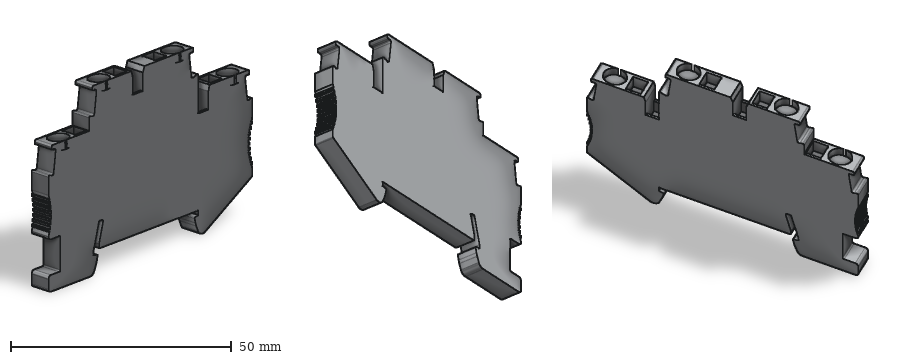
import cadquery as cq
import math

thickness = 5.2
length = 67.9
height = 46.0
half_length = length / 2
near_face_x = -thickness / 2

tier_drop = 10.6
upper_top_z = height
lower_top_z = height - tier_drop
lip_thickness = 1.15
lip_overhang = 1.4
lip_top_round = 0.5
lip_under_round = 0.35
neck_lean = 0.8
neck_round = 0.5
neck_foot_depth = 7.5
ledge_width = 1.6
ledge_crest = 0.4
ledge_slope = 0.3
ledge_edge_round = 0.3
upper_left_ledge_width = 2.25
upper_left_neck_y = 12.9
upper_right_neck_y = -17.9
lower_neck_y = half_length - ledge_width - neck_lean
upper_wall_y = upper_left_neck_y + neck_lean + upper_left_ledge_width

slot_width = 3.3
slot_depth = 5.9
lead_in_depth = 1.4
lower_lead_in = 0.4
upper_lead_in = 0.55
lower_slot_y = upper_wall_y + slot_width / 2
upper_slot_y = -4.2

grip_radius = 14.45
rib_pitch = 1.2
rib_width = 0.51
rib_height = 0.44
left_grip_z = 17.4
left_grip_depth = 1.3
left_rib_count = 9
right_grip_z = 18.6
right_grip_depth = 0.9
right_rib_count = 7

rail_seat_z = 6.0
hook_root_z = 4.9
hook_tip_z = 4.6
hook_tip_round = 0.2
flank_angle = 22.0
knee_z = 2.85
knee_round = 5.4
foot_round = 1.7
foot_run = 1.55
left_tip_y = 14.7
right_tip_y = -17.5
belly_z = 9.3
belly_angle = 30.0
small_round = 0.3

spring_slot_top_z = 12.7
spring_slot_lean = math.tan(math.radians(15.0))
spring_slot_round = 0.5
spring_slot_left_y = -17.1
spring_slot_left_z = 7.2
spring_slot_right_y = -18.95
spring_slot_right_z = 5.85

notch_y = -30.0
notch_bottom_z = 4.1
notch_top_z = spring_slot_top_z
toe_round = 0.8
notch_round = 0.35

pocket_width = 3.95
pocket_length = 3.75
pocket_depth = 3.4
pocket_x = -0.1
oval_width = 4.8
oval_length = 5.6
oval_depth = 2.25
oval_x = 0.22
entry_spacing = 5.65
wire_entries = [
    (28.25, lower_top_z, -1),
    (9.85, upper_top_z, -1),
    (-14.7, upper_top_z, 1),
    (-28.1, lower_top_z, 1),
]


def tier_end(side, neck_y, top_z, ledge=ledge_width):
    """Corners (y, z, radius) from the lip down to the ledge edge; side is +1 or -1."""
    lip_y = neck_y + side * lip_overhang
    under_z = top_z - lip_thickness
    foot_y = neck_y + side * neck_lean
    edge_y = foot_y + side * ledge
    foot_z = top_z - neck_foot_depth
    ledge_z = foot_z + ledge_slope * (ledge - ledge_crest)
    return [
        (lip_y, top_z, lip_top_round),
        (lip_y, under_z, lip_under_round),
        (neck_y, under_z, neck_round),
        (foot_y, foot_z, neck_round),
        (edge_y - side * ledge_crest, ledge_z, 0),
        (edge_y, ledge_z, ledge_edge_round),
    ]


def bridge_slot(centre_y, top_z, left_lead_in, right_lead_in):
    """Corners of a slot from its +Y rim to its -Y rim; a zero lead-in leaves that rim out."""
    left_y = centre_y + slot_width / 2
    right_y = centre_y - slot_width / 2
    floor_z = top_z - slot_depth
    corners = [(left_y, floor_z, 0), (right_y, floor_z, 0)]
    if left_lead_in:
        corners = [(left_y + left_lead_in, top_z, 0), (left_y, top_z - lead_in_depth, 0)] + corners
    if right_lead_in:
        corners += [(right_y, top_z - lead_in_depth, 0), (right_y - right_lead_in, top_z, 0)]
    return corners


def finger_grip(side, centre_z, depth, rib_count):
    """Corners of the ribs from top to bottom; no rib stands out beyond the end face."""
    def floor_inset(offset):
        return depth - grip_radius + math.sqrt(grip_radius**2 - offset**2)

    half_chord = math.sqrt(grip_radius**2 - (grip_radius - depth) ** 2)
    corners = [(side * half_length, centre_z + half_chord, 0)]
    for rib in range(rib_count):
        rib_offset = ((rib_count - 1) / 2 - rib) * rib_pitch
        upper_offset = rib_offset + rib_width / 2
        lower_offset = rib_offset - rib_width / 2
        tip_y = side * (half_length - max(0, floor_inset(rib_offset) - rib_height))
        corners += [
            (side * (half_length - floor_inset(upper_offset)), centre_z + upper_offset, 0),
            (tip_y, centre_z + upper_offset, 0),
            (tip_y, centre_z + lower_offset, 0),
            (side * (half_length - floor_inset(lower_offset)), centre_z + lower_offset, 0),
        ]
    corners.append((side * half_length, centre_z - half_chord, 0))
    return corners


def rounded_outline(corners):
    """Closed wire in the YZ plane whose corners are rounded by tangent arcs."""
    stretches = []
    for i, (y, z, radius) in enumerate(corners):
        corner = cq.Vector(y, z)
        if radius == 0:
            stretches.append([corner])
            continue
        before = (cq.Vector(*corners[i - 1][:2]) - corner).normalized()
        after = (cq.Vector(*corners[(i + 1) % len(corners)][:2]) - corner).normalized()
        half_angle = before.getAngle(after) / 2
        setback = radius / math.tan(half_angle)
        sagitta = radius / math.sin(half_angle) - radius
        middle = corner + (before + after).normalized() * sagitta
        stretches.append([corner + before * setback, middle, corner + after * setback])

    sketch = cq.Workplane("YZ", origin=(near_face_x, 0, 0)).moveTo(*stretches[0][-1].toTuple()[:2])
    for stretch in stretches[1:] + stretches[:1]:
        points = [point.toTuple()[:2] for point in stretch]
        sketch = sketch.lineTo(*points[0])
        if len(points) == 3:
            sketch = sketch.threePointArc(points[1], points[2])
    return sketch.close()


def upper_edge():
    """Corners along the tiers from the +Y end to the -Y end."""
    left_lower = tier_end(1, lower_neck_y, lower_top_z)[::-1]
    left_upper = tier_end(1, upper_left_neck_y, upper_top_z, upper_left_ledge_width)[::-1]
    right_upper = tier_end(-1, upper_right_neck_y, upper_top_z)
    right_lower = tier_end(-1, -lower_neck_y, lower_top_z)
    step_corner = (right_upper[-1][0], lower_top_z, 0)
    return (
        left_lower
        + bridge_slot(lower_slot_y, lower_top_z, lower_lead_in, 0)
        + left_upper
        + bridge_slot(upper_slot_y, upper_top_z, upper_lead_in, upper_lead_in)
        + right_upper
        + [step_corner]
        + right_lower
    )


def lower_edge():
    """Corners along the underside from the -Y end to the +Y end."""
    flank_slope = math.tan(math.radians(flank_angle))
    belly_slope = math.tan(math.radians(belly_angle))
    knee_run = foot_run - knee_z * flank_slope

    left_flank_base_y = left_tip_y + foot_run
    belly_z_at_flank = belly_z - belly_slope * (half_length - left_flank_base_y)
    left_foot_z = belly_z_at_flank / (1 + belly_slope * flank_slope)
    left_foot_y = left_flank_base_y - flank_slope * left_foot_z

    slot_left_top_y = spring_slot_left_y + spring_slot_lean * (spring_slot_top_z - spring_slot_left_z)
    slot_right_top_y = spring_slot_right_y + spring_slot_lean * (spring_slot_top_z - spring_slot_right_z)
    return [
        (-half_length, notch_top_z, toe_round),
        (notch_y, notch_top_z, notch_round),
        (notch_y, notch_bottom_z, notch_round),
        (-half_length, notch_bottom_z, toe_round),
        (-half_length, 0, toe_round),
        (right_tip_y - foot_run, 0, foot_round),
        (right_tip_y - knee_run, knee_z, knee_round),
        (right_tip_y, hook_tip_z, hook_tip_round),
        (spring_slot_right_y, hook_root_z, 0),
        (spring_slot_right_y, spring_slot_right_z, 0),
        (slot_right_top_y, spring_slot_top_z, spring_slot_round),
        (slot_left_top_y, spring_slot_top_z, spring_slot_round),
        (spring_slot_left_y, spring_slot_left_z, 0),
        (spring_slot_left_y, rail_seat_z, small_round),
        (upper_wall_y, rail_seat_z, 0),
        (upper_wall_y, hook_root_z, 0),
        (left_tip_y, hook_tip_z, hook_tip_round),
        (left_tip_y + knee_run, knee_z, knee_round),
        (left_foot_y, left_foot_z, foot_round),
        (half_length, belly_z, small_round),
    ]


def pocket(centre_y, top_z, pocket_y_size):
    """Rectangular pocket cutter sunk from top_z."""
    return (
        cq.Workplane("XY", origin=(pocket_x, centre_y, top_z))
        .rect(pocket_width, pocket_y_size)
        .extrude(-pocket_depth)
    )


def oval_opening(centre_y, top_z):
    """Oval cutter wide enough to break narrowly through the +X face."""
    return (
        cq.Workplane("XY", origin=(oval_x, centre_y, top_z))
        .ellipse(oval_width / 2, oval_length / 2)
        .extrude(-oval_depth)
    )


right_grip = finger_grip(-1, right_grip_z, right_grip_depth, right_rib_count)
left_grip = finger_grip(1, left_grip_z, left_grip_depth, left_rib_count)[::-1]
result = rounded_outline(upper_edge() + right_grip + lower_edge() + left_grip).extrude(thickness)

for oval_y, top_z, pocket_side in wire_entries:
    result = result.cut(oval_opening(oval_y, top_z))
    result = result.cut(pocket(oval_y + pocket_side * entry_spacing, top_z, pocket_length))

for slot_y, top_z in [(lower_slot_y, lower_top_z), (upper_slot_y, upper_top_z)]:
    result = result.cut(pocket(slot_y, top_z - slot_depth, slot_width))